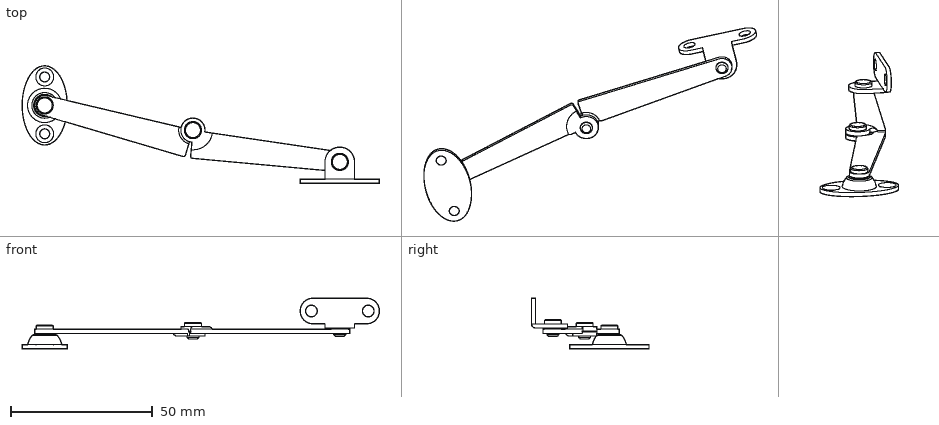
import cadquery as cq
import math

overall_length = 125.9
overall_width = 41.4
elbow_offset = 1.3
sheet = 1.5
washer_height = 0.4
washer_radius = 3.0

base_width = 16.0
base_length = 28.0
screw_spacing = 20.0
screw_hole = 3.4
countersink = 6.3
dome_bottom_radius = 6.0
dome_middle_radius = 5.5
dome_top_radius = 3.9
dome_shoulder_radius = 4.5
dome_shoulder_height = 3.1
dome_height = 3.5

tip_radius = 3.5
knuckle_radius = 4.3
elbow_depth = 10.0
corner_radius = 0.8
joggle_rim_radius = 6.4
joggle_crown_radius = 5.5
bend_radius = 1.5

head_radius = 3.0
head_height = 1.5
head_chamfer = 0.4
shank_radius = 2.1
rivet_length = 5.9
tail_chamfer = 0.6

bracket_length = 28.0
bracket_height = 9.1
bracket_hole = 4.0
tongue_width = 10.5
tongue_reach = 7.5

dome_top = sheet + dome_height
arm_bottom = dome_top + washer_height
arm_top = arm_bottom + sheet
joggle_step = (sheet + washer_height) / 2
tongue_bottom = arm_top + washer_height
tongue_top = tongue_bottom + sheet

bracket_pivot_x = overall_length - base_width / 2 - bracket_length / 2
bracket_pivot_y = base_length / 2 - overall_width + tongue_reach
half_span = math.hypot(bracket_pivot_x, bracket_pivot_y) / 2
arm_length = math.hypot(half_span, elbow_offset)
span_angle = math.degrees(math.atan2(bracket_pivot_y, bracket_pivot_x))
elbow_turn = math.degrees(math.atan2(elbow_offset, half_span))
base_arm_angle = span_angle + elbow_turn
bracket_arm_angle = span_angle - elbow_turn

base_pivot = (0, 0)
elbow_pivot = (
    arm_length * math.cos(math.radians(base_arm_angle)),
    arm_length * math.sin(math.radians(base_arm_angle)),
)
bracket_pivot = (bracket_pivot_x, bracket_pivot_y)


def disc(radius, bottom, height):
    return cq.Workplane("XY").workplane(offset=bottom).circle(radius).extrude(height)


def cone(bottom_radius, top_radius, bottom, height):
    return cq.Workplane(cq.Solid.makeCone(bottom_radius, top_radius, height, pnt=cq.Vector(0, 0, bottom)))


def make_rivet(pivot, head_bottom):
    """Flat round head on a shank with a chamfered tail."""
    shank_length = rivet_length - head_height
    shank = disc(shank_radius, head_bottom - shank_length, shank_length).faces("<Z").chamfer(tail_chamfer)
    head = disc(head_radius, head_bottom, head_height).faces(">Z").chamfer(head_chamfer)
    return shank.union(head).translate((*pivot, 0))


def make_washer(pivot, bottom):
    washer = disc(washer_radius, bottom, washer_height)
    return washer.cut(disc(shank_radius, bottom, washer_height)).translate((*pivot, 0))


def make_base(rivet):
    """Elliptical plate with a dome, two countersunk holes and a blind socket for the rivet."""
    plate = cq.Workplane("XY").ellipse(base_width / 2, base_length / 2).extrude(sheet)
    shoulder_top = sheet + dome_shoulder_height
    flank_middle = (dome_middle_radius, sheet + dome_shoulder_height / 2)
    dome = (
        cq.Workplane("XZ")
        .moveTo(0, sheet)
        .lineTo(dome_bottom_radius, sheet)
        .threePointArc(flank_middle, (dome_shoulder_radius, shoulder_top))
        .lineTo(dome_top_radius, dome_top)
        .lineTo(0, dome_top)
        .close()
        .revolve(360, (0, 0), (0, 1))
    )
    base = plate.union(dome)
    screw = cone(screw_hole / 2, countersink / 2, 0, sheet)
    for side in (-1, 1):
        base = base.cut(screw.translate((0, side * screw_spacing / 2, 0)))
    return base.cut(rivet)


tip_y = tip_radius - elbow_depth
tip_x = -math.sqrt(arm_length**2 - tip_y**2)
pivot_line_slope = math.atan2(-tip_y, -tip_x)


def arm_blade():
    """Flat arm: the upper edge runs from the elbow pivot tangent to the round tip, the lower edge
    continues the tip, and the end edge drops straight from the elbow pivot.
    """
    upper_slope = pivot_line_slope - math.asin(tip_radius / arm_length)
    arc_middle_angle = math.pi + upper_slope / 2

    def tip_point(angle):
        return (tip_x + tip_radius * math.cos(angle), tip_y + tip_radius * math.sin(angle))

    return (
        cq.Workplane("XY")
        .lineTo(*tip_point(math.pi / 2 + upper_slope))
        .threePointArc(tip_point(arc_middle_angle), (tip_x, -elbow_depth))
        .lineTo(0, -elbow_depth)
        .close()
        .extrude(sheet)
        .edges("|Z and >X and <Y")
        .fillet(corner_radius)
    )


def round_step(bottom, arc_start, arc_middle, arc_end):
    """Round body about the Z axis from bottom up to the arc end, with the arc as its flank."""
    return (
        cq.Workplane("XZ")
        .moveTo(0, bottom)
        .lineTo(*arc_start)
        .threePointArc(arc_middle, arc_end)
        .lineTo(0, arc_end[1])
        .close()
        .revolve(360, (0, 0), (0, 1))
    )


def make_arm():
    """Arm with its elbow end set down by a joggle; tip pivot at the origin, tip-to-elbow along +X."""
    blade = arm_blade()
    sweep = math.acos(1 - joggle_step / bend_radius)

    def rim_point(angle):
        return (
            joggle_rim_radius - bend_radius * math.sin(angle),
            sheet - bend_radius * (1 - math.cos(angle)),
        )

    def crown_point(angle):
        return (
            joggle_crown_radius + bend_radius * math.sin(angle),
            bend_radius * (1 - math.cos(angle)) - joggle_step,
        )

    hollow = round_step(sheet - joggle_step, rim_point(sweep), rim_point(sweep / 2), rim_point(0))
    crown = round_step(-joggle_step, crown_point(0), crown_point(sweep / 2), crown_point(sweep))
    tall_blade = blade.union(blade.translate((0, 0, -joggle_step)))
    arm = blade.union(tall_blade.intersect(crown)).cut(hollow)
    arm = arm.union(disc(knuckle_radius, -joggle_step, sheet))
    arm = arm.cut(disc(shank_radius, -joggle_step, sheet))
    arm = arm.cut(disc(shank_radius, 0, sheet).translate((tip_x, tip_y, 0)))
    return arm.translate((-tip_x, -tip_y, 0)).rotate((0, 0, 0), (0, 0, 1), -math.degrees(pivot_line_slope))


def make_base_arm():
    return make_arm().rotate((0, 0, 0), (0, 0, 1), base_arm_angle).translate((0, 0, arm_bottom))


def make_bracket_arm():
    """Same arm turned over, so that its elbow end lies above the other one."""
    turned = make_arm().rotate((0, 0, 0), (0, 1, 0), 180)
    return turned.rotate((0, 0, 0), (0, 0, 1), bracket_arm_angle).translate((*bracket_pivot, arm_top))


def make_bracket():
    """Upright plate with round ends and two screw holes, and a tongue bent back from its lower edge."""
    plate_middle = tongue_top + bracket_height / 2
    plate = (
        cq.Workplane("XZ", origin=(0, -tongue_reach, plate_middle))
        .slot2D(bracket_length, bracket_height)
        .pushPoints([(-screw_spacing / 2, 0), (screw_spacing / 2, 0)])
        .circle(bracket_hole / 2)
        .extrude(-sheet)
    )
    bend_y = sheet - tongue_reach
    half_width = tongue_width / 2
    tongue = (
        cq.Workplane("XY", origin=(0, 0, tongue_bottom))
        .moveTo(-half_width, bend_y)
        .lineTo(half_width, bend_y)
        .lineTo(half_width, 0)
        .threePointArc((0, half_width), (-half_width, 0))
        .close()
        .extrude(sheet)
    )
    bend = (
        cq.Workplane("YZ", origin=(-half_width, bend_y, tongue_top))
        .lineTo(-sheet, 0)
        .radiusArc((0, -sheet), -sheet)
        .close()
        .extrude(tongue_width)
    )
    bracket = plate.union(bend).union(tongue).cut(disc(shank_radius, tongue_bottom, sheet))
    return bracket.translate((*bracket_pivot, 0))


elbow_top = arm_top + joggle_step
pivots = [base_pivot, elbow_pivot, bracket_pivot]
rivet_seats = [arm_top, elbow_top, tongue_top]
washer_seats = [dome_top, arm_top - joggle_step, arm_top]
rivets = [make_rivet(pivot, seat) for pivot, seat in zip(pivots, rivet_seats)]
washers = [make_washer(pivot, seat) for pivot, seat in zip(pivots, washer_seats)]
base = make_base(rivets[0])
base_arm = make_base_arm()
bracket_arm = make_bracket_arm()
bracket = make_bracket()

bodies = [base, base_arm, bracket_arm, bracket, *rivets, *washers]
result = cq.Compound.makeCompound([body.solids().val() for body in bodies])